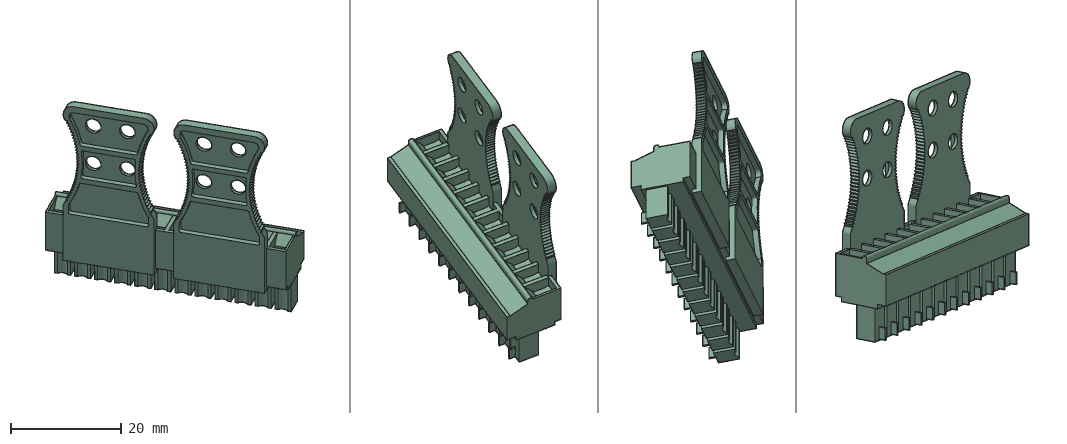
import cadquery as cq
import math


housing_length = 45.7
housing_depth = 11.15
housing_top = 9.0
way_count = 12
way_pitch = housing_length / way_count

foot_height = 0.85
foot_front = 1.3
foot_back = 9.25

ridge_front = 5.8
ridge_back = 6.85
ridge_radius = (ridge_back - ridge_front) / 2

slope_top = 8.25
slope_back = 10.45
slope_bottom = 6.85

pocket_width = 3.0
pocket_front = 0.75
pocket_back = ridge_front
pocket_floor_front = 1.6
pocket_floor_back = 4.1
pocket_depth = 2.25
pocket_slope_depth = 1.85
pocket_floor_rise = 0.25

sleeve_width = 3.05
sleeve_front = 4.4
sleeve_back = 8.4
sleeve_length = 6.55
groove_width = 1.87
groove_depth = 0.45
latch_width = 0.35
latch_reach = 1.33
latch_top = -4.0
latch_bottom = -6.3

handle_spacing = 21.05
handle_half_width = 8.65
handle_top = 33.2
handle_back = 0.75
handle_thickness = 1.8
corner_radius = 2.0

grip_mid = 21.45
grip_half_height = 8.5
grip_inset = 2.95
grip_root_radius = 17.85
tooth_height = 0.4
tooth_count = 27

shoulder_inset = 0.65
shoulder_bevel_inset = 0.15
shoulder_bevel_height = 12.1
shoulder_base = 11.65

recess_depth = 1.05
recess_grip_wall = 0.65
recess_edge_radius = 0.35
recess_top_radius = 0.9
recesses = [
    (10.1, 17.1, 1.0, recess_edge_radius),
    (18.1, 24.1, 1.0, recess_edge_radius),
    (25.05, 31.9, 1.15, recess_top_radius),
]

hole_diameter = 2.93
hole_half_spacing = 3.25
hole_heights = [21.08, 29.1]


def way_positions():
    """X of each way along the housing."""
    return [(i - (way_count - 1) / 2) * way_pitch for i in range(way_count)]


def handle_positions():
    """X of each handle."""
    return [-handle_spacing / 2, handle_spacing / 2]


def block(x_mid, width, y_range, z_range):
    """Box given by its middle and width in X and by its limits in Y and Z."""
    y_min, y_max = y_range
    z_min, z_max = z_range
    box = cq.Workplane("XY").box(width, y_max - y_min, z_max - z_min, centered=(True, False, False))
    return box.translate((x_mid, y_min, z_min))


def make_shell():
    """Outer shape of the housing without its openings."""
    ridge_middle = (ridge_front + ridge_back) / 2
    section = (
        cq.Workplane("YZ")
        .moveTo(foot_front, 0)
        .lineTo(foot_back, 0)
        .lineTo(foot_back, foot_height)
        .lineTo(housing_depth, foot_height)
        .lineTo(housing_depth, slope_bottom)
        .lineTo(slope_back, slope_bottom)
        .lineTo(ridge_back, slope_top)
        .lineTo(ridge_back, housing_top)
        .threePointArc((ridge_middle, housing_top + ridge_radius), (ridge_front, housing_top))
        .lineTo(0, housing_top)
        .lineTo(0, foot_height)
        .lineTo(foot_front, foot_height)
        .close()
    )
    return section.extrude(housing_length / 2, both=True)


def make_pocket():
    """Wire entry with a sloping back wall, cut from the top of the housing."""
    floor = housing_top - pocket_depth
    section = [
        (pocket_front, housing_top),
        (pocket_front, floor + pocket_floor_rise),
        (pocket_floor_front, floor),
        (pocket_floor_back, floor),
        (pocket_floor_back, housing_top - pocket_slope_depth),
        (pocket_back, housing_top),
    ]
    return cq.Workplane("YZ").polyline(section).close().extrude(pocket_width / 2, both=True)


def make_sleeve():
    """Contact sleeve with a round groove down its front and a latch on its back."""
    sleeve = block(0, sleeve_width, (sleeve_front, sleeve_back), (-sleeve_length, 0))
    latch = block(0, latch_width, (sleeve_back, sleeve_back + latch_reach), (latch_bottom, latch_top))
    groove = (
        cq.Workplane("XY")
        .moveTo(-groove_width / 2, sleeve_front)
        .threePointArc((0, sleeve_front + groove_depth), (groove_width / 2, sleeve_front))
        .close()
        .extrude(-sleeve_length)
    )
    return sleeve.union(latch).cut(groove)


def make_housing():
    housing = make_shell()
    pocket = make_pocket()
    sleeve = make_sleeve()
    for x in way_positions():
        housing = housing.cut(pocket.translate((x, 0, 0)))
        housing = housing.union(sleeve.translate((x, 0, 0)))
    for x in handle_positions():
        housing = housing.cut(block(x, 2 * handle_half_width, (0, handle_back), (0, housing_top)))
    return housing


def grip_points():
    """Tooth roots and tips on the right side, from the bottom root to the top root."""
    centre_x = handle_half_width - grip_inset + grip_root_radius
    half_angle = math.asin(grip_half_height / grip_root_radius)
    points = []
    for i in range(2 * tooth_count + 1):
        angle = half_angle * (i / tooth_count - 1)
        radius = grip_root_radius - tooth_height * (i % 2)
        points.append((centre_x - radius * math.cos(angle), grip_mid + radius * math.sin(angle)))
    return points


def make_handle_plate():
    """Plate with toothed, waisted sides and round top corners."""
    teeth = grip_points()
    top_root_z = teeth[-1][1]
    corner_x = handle_half_width - corner_radius
    corner_z = handle_top - corner_radius
    corner_end_x = corner_x + math.sqrt(corner_radius**2 - (corner_z - top_root_z) ** 2)
    half_outline = (
        cq.Workplane("XZ", origin=(0, handle_back, 0))
        .lineTo(handle_half_width, 0)
        .lineTo(handle_half_width, shoulder_base)
        .tangentArcPoint((handle_half_width - shoulder_bevel_inset, shoulder_bevel_height), relative=False)
        .lineTo(handle_half_width - shoulder_inset, teeth[0][1])
        .polyline(teeth, includeCurrent=True)
        .lineTo(corner_end_x, top_root_z)
        .threePointArc((handle_half_width, corner_z), (corner_x, handle_top))
        .lineTo(0, handle_top)
    )
    return half_outline.mirrorY().extrude(handle_thickness)


def make_recess(bottom, top, side_wall, top_radius):
    """Shallow recess in the front face whose sides follow the grip."""
    front = handle_back - handle_thickness
    half_width = handle_half_width - side_wall
    recess = block(0, 2 * half_width, (front, front + recess_depth), (bottom, top))
    arc_radius = grip_root_radius + recess_grip_wall
    arc_centre_x = handle_half_width - grip_inset + grip_root_radius
    grip_arcs = (
        cq.Workplane("XZ", origin=(0, front, 0))
        .pushPoints([(-arc_centre_x, grip_mid), (arc_centre_x, grip_mid)])
        .circle(arc_radius)
        .extrude(-recess_depth)
    )
    recess = recess.cut(grip_arcs)
    recess = recess.faces("<Z").edges("|Y").fillet(recess_edge_radius)
    return recess.faces(">Z").edges("|Y").fillet(top_radius)


def make_handle():
    handle = make_handle_plate()
    for recess in recesses:
        handle = handle.cut(make_recess(*recess))
    hole_places = [(x, z) for x in (-hole_half_spacing, hole_half_spacing) for z in hole_heights]
    holes = (
        cq.Workplane("XZ", origin=(0, handle_back, 0))
        .pushPoints(hole_places)
        .circle(hole_diameter / 2)
        .extrude(handle_thickness)
    )
    return handle.cut(holes)


housing = make_housing()
handle = make_handle()
handles = [handle.translate((x, 0, 0)) for x in handle_positions()]

result = cq.Compound.makeCompound([housing.val(), *[placed.val() for placed in handles]])